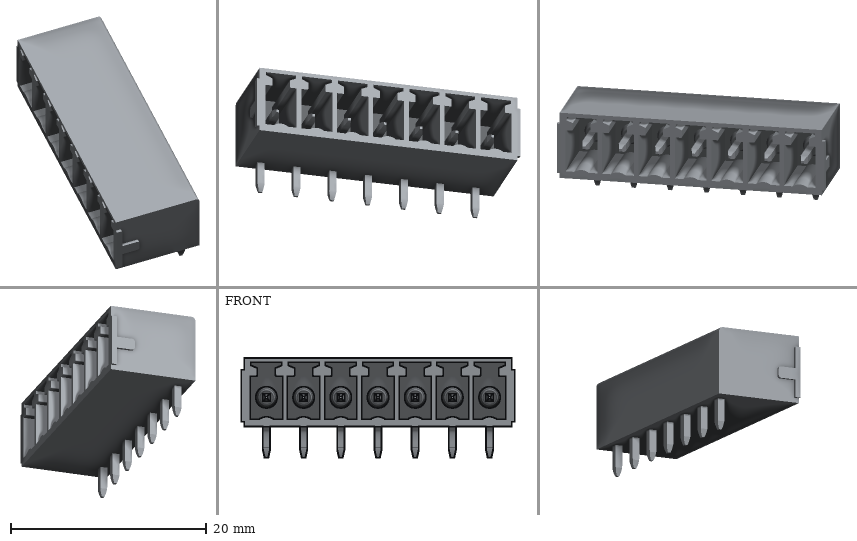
import cadquery as cq
import math


contact_count = 7
row_length = 22.87
pitch = row_length / (contact_count - 1)
contact_xs = [i * pitch - row_length / 2 for i in range(contact_count)]

overall_width = 28.05
end_tab_height = 0.3
housing_width = overall_width - 2 * end_tab_height
housing_depth = 9.2
housing_height = 7.05
rear_edge_radius = 0.42

tab_flange_depth = 0.6
tab_flange_bottom = 0.5
tab_flange_top = 5.85
tab_flange_radius = 0.1
tab_stem_depth = 2.5
tab_stem_bottom = 2.35
tab_stem_top = 3.55
tab_stem_radius = 0.25

cavity_depth = 6.73
cavity_width = 3.3
cavity_floor = 0.75
shoulder_height = 5.2
neck_width = 1.85
neck_top = 6.0
head_width = 3.17
head_bottom = 6.29
cavity_ceiling = 6.62
neck_corner_radius = 0.08
floor_rib_width = 1.52
floor_rib_height = 0.25

boss_base_radius = 1.1
boss_tip_radius = 0.85
boss_length = 0.85
boss_edge_radius = 0.2

pin_size = 0.75
pin_axis_height = 3.0
leg_y = 8.0
arm_front_y = 1.25
leg_drop = 3.2

arm_point_width = 0.28
arm_point_thickness = 0.28
arm_taper_length = 0.93
arm_curve_length = 0.93
leg_point_width = 0.4
leg_point_thickness = 0.28
leg_taper_length = 0.85
leg_curve_length = 1.1


def make_end_tab():
    """T-shaped tab on the -X end face, overlapping the block so that they fuse."""
    outer_x = -overall_width / 2
    flange_height = tab_flange_top - tab_flange_bottom
    flange = (
        cq.Workplane("XY")
        .box(2 * end_tab_height, tab_flange_depth, flange_height, centered=False)
        .edges(">Y and |X")
        .fillet(tab_flange_radius)
        .translate((outer_x, 0, tab_flange_bottom))
    )
    stem_height = tab_stem_top - tab_stem_bottom
    stem = (
        cq.Workplane("XY")
        .box(2 * end_tab_height, tab_stem_depth, stem_height, centered=False)
        .edges(">Y and |X")
        .fillet(tab_stem_radius)
        .translate((outer_x, 0, tab_stem_bottom))
    )
    return flange.union(stem)


def make_cavity(x):
    """Keyhole-shaped plug cavity with an arched rib along its floor."""
    half_cavity = cavity_width / 2
    half_neck = neck_width / 2
    half_head = head_width / 2
    half_rib = floor_rib_width / 2
    cavity = (
        cq.Workplane("XZ", origin=(x, 0, 0))
        .moveTo(-half_cavity, cavity_floor)
        .lineTo(-half_rib, cavity_floor)
        .threePointArc((0, cavity_floor + floor_rib_height), (half_rib, cavity_floor))
        .lineTo(half_cavity, cavity_floor)
        .lineTo(half_cavity, shoulder_height)
        .lineTo(half_neck, shoulder_height)
        .lineTo(half_neck, neck_top)
        .lineTo(half_head, head_bottom)
        .lineTo(half_head, cavity_ceiling)
        .lineTo(-half_head, cavity_ceiling)
        .lineTo(-half_head, head_bottom)
        .lineTo(-half_neck, neck_top)
        .lineTo(-half_neck, shoulder_height)
        .lineTo(-half_cavity, shoulder_height)
        .close()
        .extrude(-cavity_depth)
    )
    for side in (-1, 1):
        corner = (x + side * half_neck, cavity_depth / 2, shoulder_height)
        cavity = cavity.edges(cq.selectors.NearestToPointSelector(corner)).fillet(neck_corner_radius)
    return cavity


def make_boss(x):
    """Tapered boss with a rounded front rim, standing on the cavity's rear wall."""
    slope = math.atan((boss_base_radius - boss_tip_radius) / boss_length)
    return (
        cq.Workplane("XZ", origin=(x, cavity_depth, pin_axis_height))
        .circle(boss_base_radius)
        .extrude(boss_length, taper=math.degrees(slope))
        .faces("<Y")
        .edges()
        .fillet(boss_edge_radius)
    )


def make_pointed_bar(length, point_width, point_thickness, taper_length, curve_length):
    """Square bar along +Z from the origin: X faces taper flat, Y faces curve in to the point."""
    half_size = pin_size / 2
    half_point = point_thickness / 2
    narrowing = half_size - half_point
    curve_start = length - curve_length
    curve_radius = (curve_length**2 + narrowing**2) / (2 * narrowing)
    mid_angle = math.asin(curve_length / curve_radius) / 2
    mid_y = half_size - curve_radius * (1 - math.cos(mid_angle))
    mid_z = curve_start + curve_radius * math.sin(mid_angle)
    curved_bar = (
        cq.Workplane("YZ")
        .moveTo(-half_size, 0)
        .lineTo(half_size, 0)
        .lineTo(half_size, curve_start)
        .threePointArc((mid_y, mid_z), (half_point, length))
        .lineTo(-half_point, length)
        .threePointArc((-mid_y, mid_z), (-half_size, curve_start))
        .close()
        .extrude(half_size, both=True)
    )
    taper_start = length - taper_length
    tapered_bar = (
        cq.Workplane("XZ")
        .polyline([
            (-half_size, 0),
            (half_size, 0),
            (half_size, taper_start),
            (point_width / 2, length),
            (-point_width / 2, length),
            (-half_size, taper_start),
        ])
        .close()
        .extrude(half_size, both=True)
    )
    return curved_bar.intersect(tapered_bar)


def make_pin(x):
    """Right-angle pin: a contact arm towards the front and a solder leg downwards."""
    half_size = pin_size / 2
    arm_start_y = leg_y + half_size
    arm = (
        make_pointed_bar(
            arm_start_y - arm_front_y,
            arm_point_width,
            arm_point_thickness,
            arm_taper_length,
            arm_curve_length,
        )
        .rotate((0, 0, 0), (1, 0, 0), 90)
        .translate((x, arm_start_y, pin_axis_height))
    )
    leg_top = pin_axis_height + half_size
    leg = (
        make_pointed_bar(
            leg_top + leg_drop,
            leg_point_width,
            leg_point_thickness,
            leg_taper_length,
            leg_curve_length,
        )
        .rotate((0, 0, 0), (1, 0, 0), 180)
        .translate((x, leg_y, leg_top))
    )
    return arm.union(leg)


def make_housing(pins):
    """Block with end tabs, plug cavities and bosses, pierced by a matching hole for each pin."""
    block = (
        cq.Workplane("XY")
        .box(housing_width, housing_depth, housing_height, centered=(True, False, False))
        .edges(">Y and >Z")
        .fillet(rear_edge_radius)
    )
    end_tab = make_end_tab()
    housing = block.union(end_tab).union(end_tab.mirror("YZ"))
    for x in contact_xs:
        housing = housing.cut(make_cavity(x)).union(make_boss(x))
    for pin in pins:
        housing = housing.cut(pin)
    return housing


pins = [make_pin(x) for x in contact_xs]
housing = make_housing(pins)

result = cq.Compound.makeCompound([housing.val(), *[pin.val() for pin in pins]])